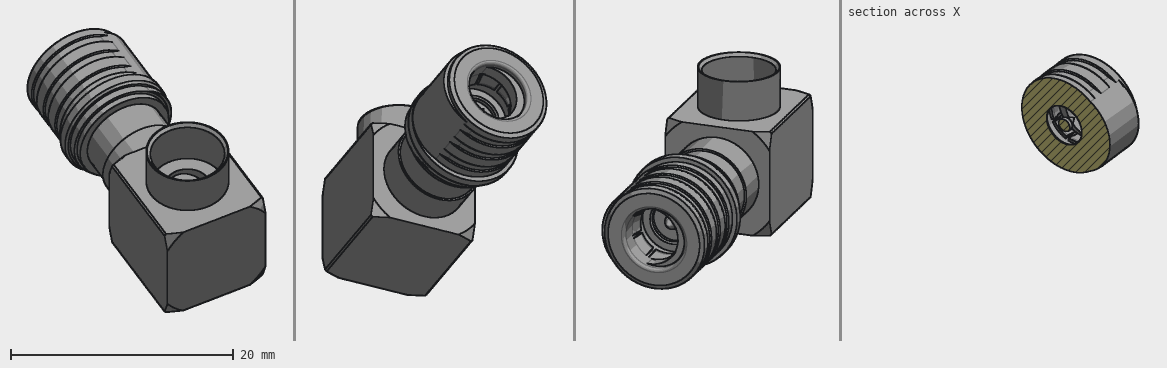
import cadquery as cq
import math


TOTAL_LENGTH = 27.2
FERRULE_TOP = 8.8

SLEEVE_RADIUS = 4.81
SLEEVE_END = 9.15
MOUTH_FACE_RADIUS = 4.4
MOUTH_CHAMFER_LENGTH = 0.2
COLLAR_RADIUS = 4.55
COLLAR_END = 9.75

FLANGE_RADIUS = 5.25
FLANGE_START = 7.3
FLANGE_END = 8.38
FLANGE_CHAMFER = 0.22

GROOVE_COUNT = 3
GROOVE_START = 1.03
GROOVE_PITCH = 2.2
GROOVE_WIDTH = 0.95
GROOVE_DEPTH = 0.14
GROOVE_WALL_RUN = 0.1

PAD_RADIUS = 4.35
PAD_OFFSET = 0.85
PAD_START = 0.57
PAD_END = 9.0

FRONT_NECK_RADIUS = 3.8
REAR_NECK_RADIUS = 4.0
REAR_NECK_START = 13.03

BLOCK_START = 16.15
BLOCK_LENGTH = TOTAL_LENGTH - BLOCK_START
BLOCK_WIDTH = 10.06
BLOCK_EDGE_CHAMFER = 0.15
TURNED_FACE_RADIUS = 6.07
TURNED_CHAMFER_ANGLE = 30

FERRULE_X = BLOCK_START + BLOCK_LENGTH / 2
FERRULE_RADIUS = 3.73
FERRULE_RIM_RADIUS = 3.65
FERRULE_BORE_RADIUS = 3.35
FERRULE_FLOOR = 4.52
CABLE_HOLE_RADIUS = 2.0

SOCKET_RADIUS = 2.83
SOCKET_DEPTH = 4.62
MOUTH_FILLET = 0.33

LIP_START = 0.68
LIP_OPENING_RADIUS = 2.7
LIP_OPENING_OFFSET = 0.63

FINGER_START = 1.93
FINGER_TAPER_LENGTH = 1.17
FINGER_LAND_LENGTH = 0.25
FINGER_TIP_RADIUS = 2.53
SLOT_COUNT = 8
SLOT_WIDTH = 0.27
FIRST_SLOT_ANGLE = 28

RECESS_RADIUS = 1.95
RECESS_RIM_RADIUS = 2.12
RECESS_DEPTH = 0.55
PIN_RADIUS = 0.65
PIN_SHOULDER_RADIUS = 0.5
PIN_TIP_RADIUS = 0.05
PIN_SHOULDER_X = 4.22
PIN_TAPER_LENGTH = 0.27
PIN_TIP_X = 3.4


def turned(profile):
    """Revolve a closed outline of (x, radius) points about the X axis."""
    return cq.Workplane("XY").polyline(profile).close().revolve(360, (0, 0, 0), (1, 0, 0))


def x_cylinder(radius, start, end, y=0):
    """Cylinder along X between two stations, its axis moved sideways to y."""
    return cq.Workplane("YZ", origin=(start, y, 0)).circle(radius).extrude(end - start)


def z_cylinder(radius, bottom, top):
    """Vertical cylinder on the ferrule axis."""
    return cq.Workplane("XY", origin=(FERRULE_X, 0, bottom)).circle(radius).extrude(top - bottom)


def make_sleeve_and_necks():
    groove_floor = SLEEVE_RADIUS - GROOVE_DEPTH
    profile = [(0, 0), (0, MOUTH_FACE_RADIUS), (MOUTH_CHAMFER_LENGTH, SLEEVE_RADIUS)]
    for i in range(GROOVE_COUNT):
        start = GROOVE_START + i * GROOVE_PITCH
        end = start + GROOVE_WIDTH
        profile += [
            (start, SLEEVE_RADIUS),
            (start + GROOVE_WALL_RUN, groove_floor),
            (end - GROOVE_WALL_RUN, groove_floor),
            (end, SLEEVE_RADIUS),
        ]
    profile += [
        (FLANGE_START, SLEEVE_RADIUS),
        (FLANGE_START, FLANGE_RADIUS),
        (FLANGE_END - FLANGE_CHAMFER, FLANGE_RADIUS),
        (FLANGE_END, FLANGE_RADIUS - FLANGE_CHAMFER),
        (FLANGE_END, SLEEVE_RADIUS),
        (SLEEVE_END, SLEEVE_RADIUS),
        (SLEEVE_END, COLLAR_RADIUS),
        (COLLAR_END, COLLAR_RADIUS),
        (COLLAR_END, FRONT_NECK_RADIUS),
        (REAR_NECK_START, FRONT_NECK_RADIUS),
        (REAR_NECK_START, REAR_NECK_RADIUS),
        (BLOCK_START, REAR_NECK_RADIUS),
        (BLOCK_START, 0),
    ]
    return turned(profile).union(x_cylinder(PAD_RADIUS, PAD_START, PAD_END, PAD_OFFSET))


def make_block():
    block = (
        cq.Workplane("YZ", origin=(BLOCK_START, 0, 0))
        .rect(BLOCK_WIDTH, BLOCK_WIDTH)
        .extrude(BLOCK_LENGTH)
        .edges("|X")
        .chamfer(BLOCK_EDGE_CHAMFER)
    )
    corner_radius = BLOCK_WIDTH / math.sqrt(2)
    run = (corner_radius - TURNED_FACE_RADIUS) * math.tan(math.radians(TURNED_CHAMFER_ANGLE))
    envelope = turned([
        (BLOCK_START, 0),
        (BLOCK_START, TURNED_FACE_RADIUS),
        (BLOCK_START + run, corner_radius),
        (TOTAL_LENGTH - run, corner_radius),
        (TOTAL_LENGTH, TURNED_FACE_RADIUS),
        (TOTAL_LENGTH, 0),
    ])
    return block.intersect(envelope)


def make_ferrule_cut():
    countersink_depth = FERRULE_RIM_RADIUS - FERRULE_BORE_RADIUS
    bore = (
        cq.Workplane("XZ", origin=(FERRULE_X, 0, 0))
        .polyline([
            (0, FERRULE_FLOOR),
            (FERRULE_BORE_RADIUS, FERRULE_FLOOR),
            (FERRULE_BORE_RADIUS, FERRULE_TOP - countersink_depth),
            (FERRULE_RIM_RADIUS, FERRULE_TOP),
            (0, FERRULE_TOP),
        ])
        .close()
        .revolve(360, (0, 0, 0), (0, 1, 0))
    )
    body = x_cylinder(REAR_NECK_RADIUS, BLOCK_START, TOTAL_LENGTH)
    hole = z_cylinder(CABLE_HOLE_RADIUS, 0, FERRULE_FLOOR).cut(body)
    return bore.union(hole)


def make_socket_cut():
    floor = SOCKET_DEPTH + RECESS_DEPTH
    rim_chamfer = RECESS_RIM_RADIUS - RECESS_RADIUS
    return (
        cq.Workplane("XY")
        .moveTo(0, 0)
        .lineTo(0, SOCKET_RADIUS + MOUTH_FILLET)
        .radiusArc((MOUTH_FILLET, SOCKET_RADIUS), -MOUTH_FILLET)
        .lineTo(SOCKET_DEPTH, SOCKET_RADIUS)
        .lineTo(SOCKET_DEPTH, RECESS_RIM_RADIUS)
        .lineTo(SOCKET_DEPTH + rim_chamfer, RECESS_RADIUS)
        .lineTo(floor, RECESS_RADIUS)
        .lineTo(floor, 0)
        .close()
        .revolve(360, (0, 0, 0), (1, 0, 0))
    )


def make_release_lip():
    opening = x_cylinder(LIP_OPENING_RADIUS, LIP_START, FINGER_START, LIP_OPENING_OFFSET)
    return x_cylinder(SOCKET_RADIUS, LIP_START, FINGER_START).cut(opening)


def make_latch_fingers():
    land_start = FINGER_START + FINGER_TAPER_LENGTH
    ring_end = land_start + FINGER_LAND_LENGTH
    ring = turned([
        (FINGER_START, SOCKET_RADIUS),
        (land_start, FINGER_TIP_RADIUS),
        (ring_end, FINGER_TIP_RADIUS),
        (ring_end, SOCKET_RADIUS),
    ])
    ring_length = ring_end - FINGER_START
    for i in range(SLOT_COUNT):
        slot = (
            cq.Workplane("XY")
            .box(ring_length, SOCKET_RADIUS, SLOT_WIDTH, centered=(False, False, True))
            .translate((FINGER_START, 0, 0))
            .rotate((0, 0, 0), (1, 0, 0), FIRST_SLOT_ANGLE + i * 360 / SLOT_COUNT)
        )
        ring = ring.cut(slot)
    return ring


def make_pin():
    base_x = SOCKET_DEPTH + RECESS_DEPTH
    return turned([
        (PIN_TIP_X, 0),
        (PIN_TIP_X, PIN_TIP_RADIUS),
        (PIN_SHOULDER_X, PIN_SHOULDER_RADIUS),
        (PIN_SHOULDER_X + PIN_TAPER_LENGTH, PIN_RADIUS),
        (base_x, PIN_RADIUS),
        (base_x, 0),
    ])


result = (
    make_sleeve_and_necks()
    .union(make_block())
    .union(z_cylinder(FERRULE_RADIUS, 0, FERRULE_TOP))
    .cut(make_socket_cut())
    .cut(make_ferrule_cut())
    .union(make_release_lip())
    .union(make_latch_fingers())
    .union(make_pin())
)